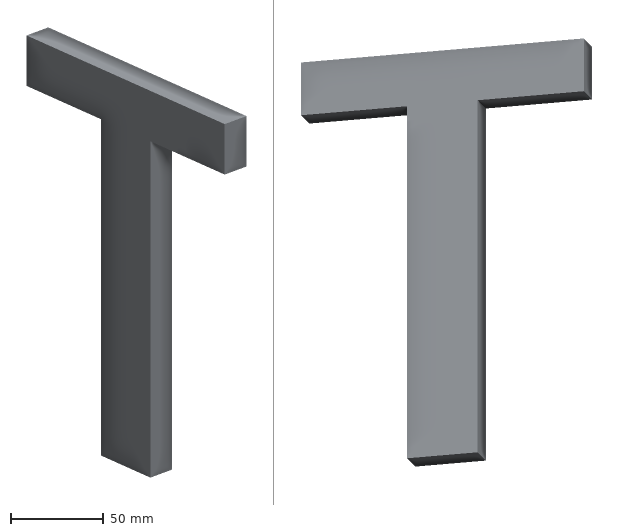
import cadquery as cq

bar_length = 160.0
bar_height = 30.0
stem_width = 40.0
total_height = 230.0
thickness = 16.0

stem_height = total_height - bar_height


def block(width, height, bottom):
    """Box centred on X and Y, standing on the given Z level."""
    return (
        cq.Workplane("XY", origin=(0, 0, bottom))
        .box(width, thickness, height, centered=(True, True, False))
    )


stem = block(stem_width, stem_height, 0)
crossbar = block(bar_length, bar_height, stem_height)

result = stem.union(crossbar).clean()